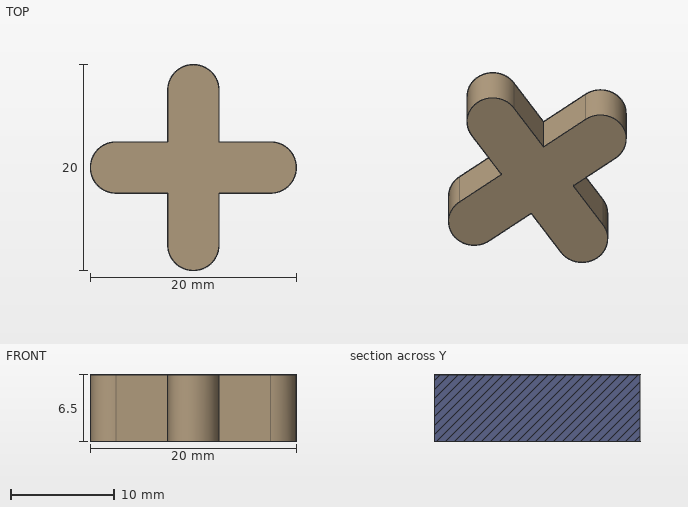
import cadquery as cq

SPAN = 20.0
BAR_WIDTH = 5.0
THICKNESS = 6.5


def rounded_bar(angle):
    """Full-round-ended bar lying on the XY plane, turned by angle degrees from X."""
    return cq.Workplane("XY").slot2D(SPAN, BAR_WIDTH, angle).extrude(THICKNESS)


bar_along_x = rounded_bar(0)
bar_along_y = rounded_bar(90)
result = bar_along_x.union(bar_along_y).clean()